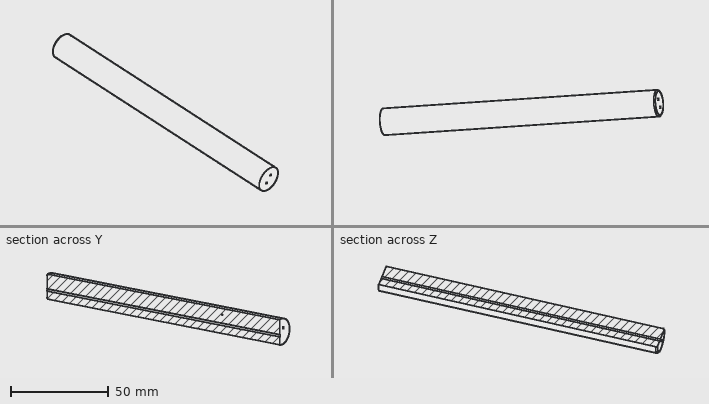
import cadquery as cq

length = 150.0
diameter = 14.0
end_chamfer = 0.7

bore_diameter = 1.0
bore_offset_y = 1.5
bore_offset_z = 1.8


def make_rod():
    """Solid rod with a chamfer on its -X end only."""
    rod = cq.Workplane("YZ").circle(diameter / 2).extrude(length / 2, both=True)
    return rod.faces("<X").chamfer(end_chamfer)


def make_bores():
    """Two straight bores running the full length of the rod."""
    centres = [(side * bore_offset_y, side * bore_offset_z) for side in (1, -1)]
    bores = cq.Workplane("YZ").pushPoints(centres).circle(bore_diameter / 2)
    return bores.extrude(length / 2, both=True)


result = make_rod().cut(make_bores())